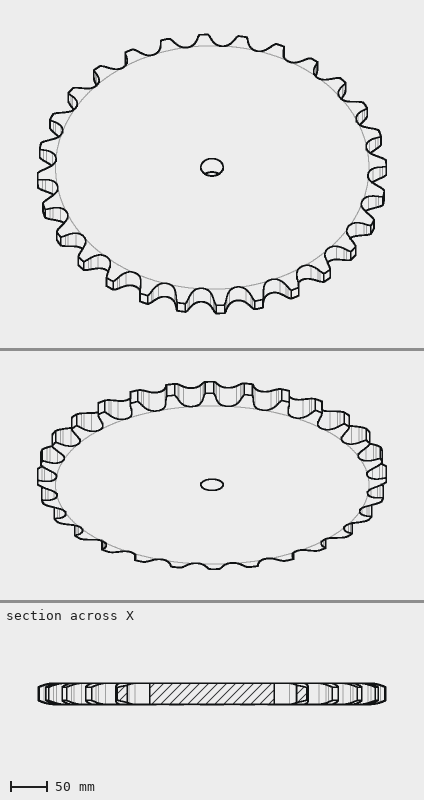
import cadquery as cq
import math

tooth_count = 28
outer_size = 472.5
thickness = 29.5
bore_diameter = 30.0
pitch_diameter = 453.5
shoulder_radius = 213.0
tip_relief = 5.5

roller_to_pitch = 9 / 16
seat_factor = 1.005
working_factor = 1.3025
working_offset = 0.8
topping_offset = 1.4

tooth_angle = 360 / tooth_count
pitch_radius = pitch_diameter / 2
chain_pitch = pitch_diameter * math.sin(math.pi / tooth_count)
roller_diameter = roller_to_pitch * chain_pitch
seat_radius = seat_factor * roller_diameter / 2
working_radius = working_factor * roller_diameter
seat_half_angle = math.radians(55 - 60 / tooth_count)
working_angle = math.radians(18 - 56 / tooth_count)
topping_angle = math.radians(17 - 64 / tooth_count)
flank_angle = seat_half_angle + working_angle
flank_length = roller_diameter * (
    topping_offset * math.sin(topping_angle) - working_offset * math.sin(working_angle)
)
topping_radius = roller_diameter * (
    working_offset * math.cos(working_angle) + topping_offset * math.cos(topping_angle) - working_factor
)

tip_height = outer_size / 2


def on_arc(center, radius, angle):
    """Point on a circle, with the angle measured from -Y toward +X."""
    return (center[0] + radius * math.sin(angle), center[1] - radius * math.cos(angle))


def shifted(point, distance, angle):
    """Point moved a distance along the direction at this angle from +X toward +Y."""
    return (point[0] + distance * math.cos(angle), point[1] + distance * math.sin(angle))


seat_center = (0, pitch_radius)
seat_bottom = on_arc(seat_center, seat_radius, 0)
seat_end = on_arc(seat_center, seat_radius, seat_half_angle)
working_center = on_arc(seat_center, seat_radius - working_radius, seat_half_angle)
working_mid = on_arc(working_center, working_radius, seat_half_angle + working_angle / 2)
working_end = on_arc(working_center, working_radius, flank_angle)
flank_end = shifted(working_end, flank_length, flank_angle)
topping_center = on_arc(flank_end, topping_radius, flank_angle)
tip_angle = math.acos((tip_height - topping_center[1]) / topping_radius)
tip_corner = on_arc(topping_center, -topping_radius, tip_angle)
topping_mid = on_arc(topping_center, -topping_radius, (flank_angle + tip_angle) / 2)
tip_radius = math.hypot(*tip_corner)


def rotated(point, degrees):
    """Point turned clockwise about the sprocket axis."""
    turn = math.radians(degrees)
    x, y = point
    return (x * math.cos(turn) + y * math.sin(turn), y * math.cos(turn) - x * math.sin(turn))


def mirrored(point):
    """Point reflected across the centre line of the gap."""
    return (-point[0], point[1])


def toothed_plate():
    """Full-thickness plate bounded by the tooth outline, centred on Z = 0."""
    outline = cq.Workplane("XY").workplane(offset=-thickness / 2).moveTo(*mirrored(tip_corner))
    for index in range(tooth_count):
        turn = index * tooth_angle

        def place(point):
            return rotated(point, turn)

        outline = (
            outline.threePointArc(place(mirrored(topping_mid)), place(mirrored(flank_end)))
            .lineTo(*place(mirrored(working_end)))
            .threePointArc(place(mirrored(working_mid)), place(mirrored(seat_end)))
            .threePointArc(place(seat_bottom), place(seat_end))
            .threePointArc(place(working_mid), place(working_end))
            .lineTo(*place(flank_end))
            .threePointArc(place(topping_mid), place(tip_corner))
            .threePointArc(
                rotated((0, tip_radius), turn + tooth_angle / 2),
                rotated(mirrored(tip_corner), turn + tooth_angle),
            )
        )
    return outline.close().extrude(thickness)


def relieved_blank():
    """Disc whose two faces curve down, tangent at the shoulder, toward the tooth tips."""
    half = thickness / 2
    relief_width = tip_radius - shoulder_radius
    relief_radius = (relief_width**2 + tip_relief**2) / (2 * tip_relief)
    relief_mid_angle = math.asin(relief_width / relief_radius) / 2
    mid_radius = shoulder_radius + relief_radius * math.sin(relief_mid_angle)
    mid_height = half - relief_radius * (1 - math.cos(relief_mid_angle))
    tip_half = half - tip_relief
    section = (
        cq.Workplane("XZ")
        .moveTo(0, -half)
        .lineTo(shoulder_radius, -half)
        .threePointArc((mid_radius, -mid_height), (tip_radius, -tip_half))
        .lineTo(tip_radius, tip_half)
        .threePointArc((mid_radius, mid_height), (shoulder_radius, half))
        .lineTo(0, half)
        .close()
    )
    return section.revolve(360, (0, 0, 0), (0, 1, 0))


def bore():
    """Cylinder that cuts the central through hole."""
    return cq.Workplane("XY").circle(bore_diameter / 2).extrude(thickness, both=True)


result = toothed_plate().intersect(relieved_blank()).cut(bore())